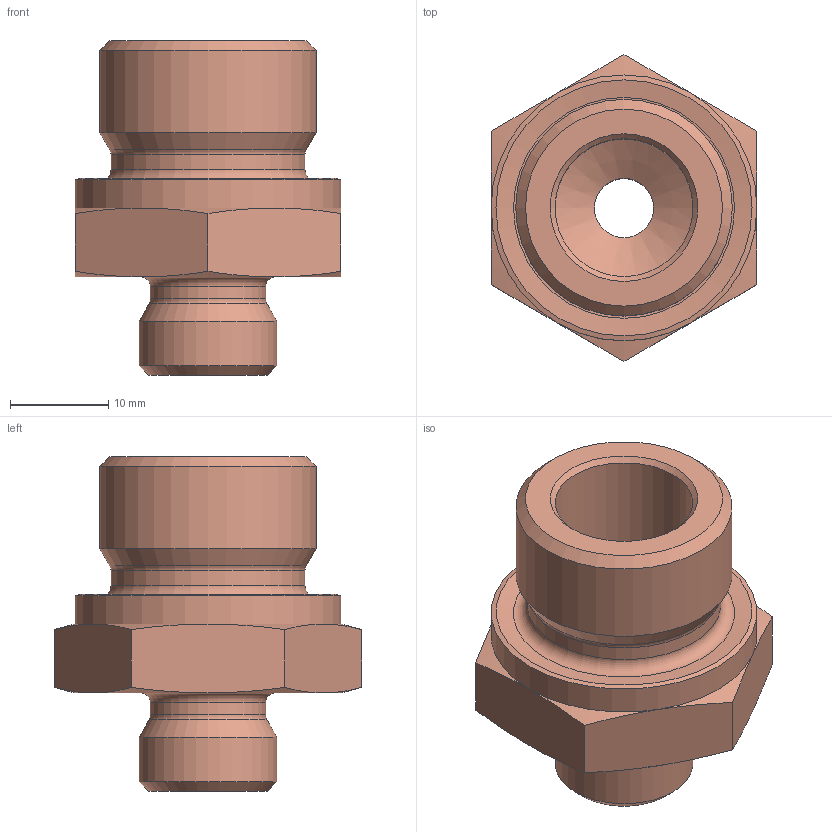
import cadquery as cq
import math

HEX_BOTTOM_Z = 10.0
HEX_TOP_Z = 17.0
COLLAR_TOP_Z = 20.0
TOTAL_HEIGHT = 34.0

ACROSS_FLATS = 27.0
FLAT_TURN = 30.0
HEX_CHAMFER_ANGLE = 15.0
COLLAR_RADIUS = ACROSS_FLATS / 2
CREST_RADIUS = 13.0
CREST_ANGLE = 15.0
FACE_ANGLE = 8.0

SMALL_STUD_RADIUS = 7.0
SMALL_NECK_RADIUS = 5.85
SMALL_SHOULDER_Z = 5.5
LARGE_STUD_RADIUS = 11.0
LARGE_NECK_RADIUS = 9.85
LARGE_SHOULDER_Z = 24.65
END_CHAMFER = 1.0
TAPER_ANGLE = 30.0
TAPER_FILLET = 1.0
SMALL_ROOT_FILLET = 1.0
LARGE_ROOT_FILLET = 1.2

THROUGH_RADIUS = 3.0
BORE_RADIUS = 7.0
BORE_DEPTH = 20.0
BORE_CHAMFER = 0.5
DRILL_POINT_ANGLE = 118.0


def tan_deg(angle):
    return math.tan(math.radians(angle))


def turned(profile):
    """Revolve a closed radius-height profile about the Z axis."""
    return profile.close().revolve(360, (0, 0, 0), (0, 1, 0))


def add_taper_fillet(profile, neck_radius, corner_z, toward_neck, entering_neck):
    """Draw the arc between neck and taper; toward_neck is +1 if the neck lies above the taper."""
    setback = TAPER_FILLET * tan_deg(TAPER_ANGLE / 2)
    full_turn = math.radians(TAPER_ANGLE)
    neck_z = corner_z + toward_neck * setback

    def arc_point(turn):
        radius = neck_radius + TAPER_FILLET * (1 - math.cos(turn))
        return radius, neck_z - toward_neck * TAPER_FILLET * math.sin(turn)

    turns = [full_turn, full_turn / 2, 0.0]
    if not entering_neck:
        turns.reverse()
    start, middle, end = [arc_point(turn) for turn in turns]
    return profile.lineTo(*start).threePointArc(middle, end)


def make_small_stud():
    """Lower stud with end chamfer, tapered undercut and root fillet under the hexagon."""
    taper_height = (SMALL_STUD_RADIUS - SMALL_NECK_RADIUS) / tan_deg(TAPER_ANGLE)
    root_radius = SMALL_NECK_RADIUS + SMALL_ROOT_FILLET
    fillet_reach = SMALL_ROOT_FILLET * (1 - math.sqrt(0.5))

    profile = (
        cq.Workplane("XZ")
        .moveTo(0, 0)
        .lineTo(SMALL_STUD_RADIUS - END_CHAMFER, 0)
        .lineTo(SMALL_STUD_RADIUS, END_CHAMFER)
        .lineTo(SMALL_STUD_RADIUS, SMALL_SHOULDER_Z)
    )
    profile = add_taper_fillet(profile, SMALL_NECK_RADIUS, SMALL_SHOULDER_Z + taper_height, 1, True)
    profile = (
        profile.lineTo(SMALL_NECK_RADIUS, HEX_BOTTOM_Z - SMALL_ROOT_FILLET)
        .threePointArc(
            (SMALL_NECK_RADIUS + fillet_reach, HEX_BOTTOM_Z - fillet_reach),
            (root_radius, HEX_BOTTOM_Z),
        )
        .lineTo(root_radius, HEX_TOP_Z)
        .lineTo(0, HEX_TOP_Z)
    )
    return turned(profile)


def make_hexagon():
    """Hexagon with two flats facing +X and -X and its corners turned off at both ends."""
    height = HEX_TOP_Z - HEX_BOTTOM_Z
    corner_radius = ACROSS_FLATS / math.sqrt(3)
    flat_radius = ACROSS_FLATS / 2
    chamfer_drop = (corner_radius - flat_radius) * tan_deg(HEX_CHAMFER_ANGLE)
    prism = (
        cq.Workplane("XY")
        .workplane(offset=HEX_BOTTOM_Z)
        .polygon(6, 2 * corner_radius)
        .extrude(height)
        .rotate((0, 0, 0), (0, 0, 1), FLAT_TURN)
    )
    envelope = turned(
        cq.Workplane("XZ")
        .moveTo(0, HEX_BOTTOM_Z)
        .lineTo(flat_radius, HEX_BOTTOM_Z)
        .lineTo(corner_radius, HEX_BOTTOM_Z + chamfer_drop)
        .lineTo(corner_radius, HEX_TOP_Z - chamfer_drop)
        .lineTo(flat_radius, HEX_TOP_Z)
        .lineTo(0, HEX_TOP_Z)
    )
    return prism.intersect(envelope)


def make_collar_and_large_stud():
    """Collar with a hollow sealing face, and the upper stud with its undercut."""
    crest_drop = (COLLAR_RADIUS - CREST_RADIUS) * tan_deg(CREST_ANGLE)
    taper_height = (LARGE_STUD_RADIUS - LARGE_NECK_RADIUS) / tan_deg(TAPER_ANGLE)

    slope = math.radians(FACE_ANGLE)
    center_radius = LARGE_NECK_RADIUS + LARGE_ROOT_FILLET
    face_radius = center_radius + LARGE_ROOT_FILLET * math.sin(slope)
    face_z = COLLAR_TOP_Z - (CREST_RADIUS - face_radius) * math.tan(slope)
    center_z = face_z + LARGE_ROOT_FILLET * math.cos(slope)
    middle_turn = (math.pi / 2 + slope) / 2
    fillet_middle = (
        center_radius - LARGE_ROOT_FILLET * math.cos(middle_turn),
        center_z - LARGE_ROOT_FILLET * math.sin(middle_turn),
    )

    profile = (
        cq.Workplane("XZ")
        .moveTo(0, HEX_TOP_Z)
        .lineTo(COLLAR_RADIUS, HEX_TOP_Z)
        .lineTo(COLLAR_RADIUS, COLLAR_TOP_Z - crest_drop)
        .lineTo(CREST_RADIUS, COLLAR_TOP_Z)
        .lineTo(face_radius, face_z)
        .threePointArc(fillet_middle, (LARGE_NECK_RADIUS, center_z))
    )
    profile = add_taper_fillet(profile, LARGE_NECK_RADIUS, LARGE_SHOULDER_Z - taper_height, -1, False)
    profile = (
        profile.lineTo(LARGE_STUD_RADIUS, LARGE_SHOULDER_Z)
        .lineTo(LARGE_STUD_RADIUS, TOTAL_HEIGHT - END_CHAMFER)
        .lineTo(LARGE_STUD_RADIUS - END_CHAMFER, TOTAL_HEIGHT)
        .lineTo(0, TOTAL_HEIGHT)
    )
    return turned(profile)


def make_bore():
    """Through hole, drill cone, wide bore and mouth chamfer as one cutting body."""
    bore_floor_z = TOTAL_HEIGHT - BORE_DEPTH
    cone_height = (BORE_RADIUS - THROUGH_RADIUS) / tan_deg(DRILL_POINT_ANGLE / 2)
    return turned(
        cq.Workplane("XZ")
        .moveTo(0, 0)
        .lineTo(THROUGH_RADIUS, 0)
        .lineTo(THROUGH_RADIUS, bore_floor_z - cone_height)
        .lineTo(BORE_RADIUS, bore_floor_z)
        .lineTo(BORE_RADIUS, TOTAL_HEIGHT - BORE_CHAMFER)
        .lineTo(BORE_RADIUS + BORE_CHAMFER, TOTAL_HEIGHT)
        .lineTo(0, TOTAL_HEIGHT)
    )


body = make_hexagon().union(make_small_stud()).union(make_collar_and_large_stud())
result = body.cut(make_bore())